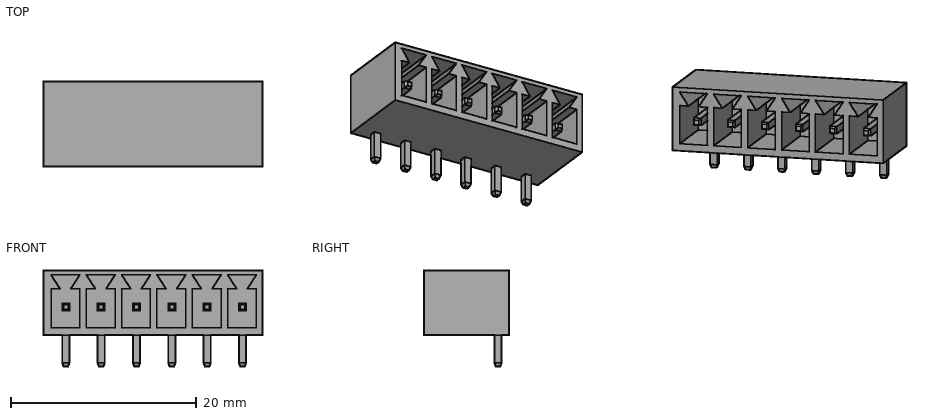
import cadquery as cq

HOUSING_WIDTH = 23.65
HOUSING_DEPTH = 9.2
HOUSING_HEIGHT = 7.0

CONTACT_COUNT = 6
PITCH = 3.81
ROW_LENGTH = (CONTACT_COUNT - 1) * PITCH
POCKET_ROW_OFFSET = 0.075
POCKET_ROW_START = (HOUSING_WIDTH - ROW_LENGTH) / 2 + POCKET_ROW_OFFSET
PIN_ROW_OFFSET = 0.05
PIN_ROW_START = POCKET_ROW_START + PIN_ROW_OFFSET

POCKET_WIDTH = 3.1
KEYWAY_NECK = 1.15
FLOOR_THICKNESS = 0.8
ROOF_THICKNESS = 0.5
KEYWAY_HEIGHT = 1.5
BACK_WALL = 2.0
POCKET_DEPTH = HOUSING_DEPTH - BACK_WALL
KEYWAY_TOP = HOUSING_HEIGHT - ROOF_THICKNESS
SHOULDER_Z = KEYWAY_TOP - KEYWAY_HEIGHT

PIN_SIZE = 0.8
TIP_SIZE = 0.5
TIP_LENGTH = 0.4
CONTACT_Z = 3.04
CONTACT_RECESS = 1.0
LEG_BACK_GAP = 0.8
LEG_PROJECTION = 3.4
LEG_Y = HOUSING_DEPTH - LEG_BACK_GAP - PIN_SIZE / 2


def pocket(center_x):
    half_width = POCKET_WIDTH / 2
    half_neck = KEYWAY_NECK / 2
    return (
        cq.Workplane("XZ", origin=(center_x, 0, 0))
        .moveTo(-half_width, FLOOR_THICKNESS)
        .lineTo(half_width, FLOOR_THICKNESS)
        .lineTo(half_width, SHOULDER_Z)
        .lineTo(half_neck, SHOULDER_Z)
        .lineTo(half_width, KEYWAY_TOP)
        .lineTo(-half_width, KEYWAY_TOP)
        .lineTo(-half_neck, SHOULDER_Z)
        .lineTo(-half_width, SHOULDER_Z)
        .close()
        .extrude(-POCKET_DEPTH)
    )


def tapered_pin(tip_center, direction, length):
    """Square pin running from its narrowed tip along the given direction."""
    tip_plane = cq.Plane(origin=tip_center, xDir=(1, 0, 0), normal=direction)
    tip = (
        cq.Workplane(tip_plane)
        .rect(TIP_SIZE, TIP_SIZE)
        .workplane(offset=TIP_LENGTH)
        .rect(PIN_SIZE, PIN_SIZE)
        .loft(ruled=True)
    )
    shank = (
        cq.Workplane(tip_plane)
        .workplane(offset=TIP_LENGTH)
        .rect(PIN_SIZE, PIN_SIZE)
        .extrude(length - TIP_LENGTH)
    )
    return tip.union(shank)


def bent_pin(center_x):
    """Contact blade and solder leg meeting at a right angle inside the back wall."""
    blade_length = LEG_Y - CONTACT_RECESS
    leg_length = LEG_PROJECTION + CONTACT_Z
    blade = tapered_pin((center_x, CONTACT_RECESS, CONTACT_Z), (0, 1, 0), blade_length)
    leg = tapered_pin((center_x, LEG_Y, -LEG_PROJECTION), (0, 0, 1), leg_length)
    return blade.union(leg)


housing = cq.Workplane("XY").box(
    HOUSING_WIDTH, HOUSING_DEPTH, HOUSING_HEIGHT, centered=False
)

for index in range(CONTACT_COUNT):
    housing = housing.cut(pocket(POCKET_ROW_START + index * PITCH))

for index in range(CONTACT_COUNT):
    housing = housing.union(bent_pin(PIN_ROW_START + index * PITCH))

result = housing